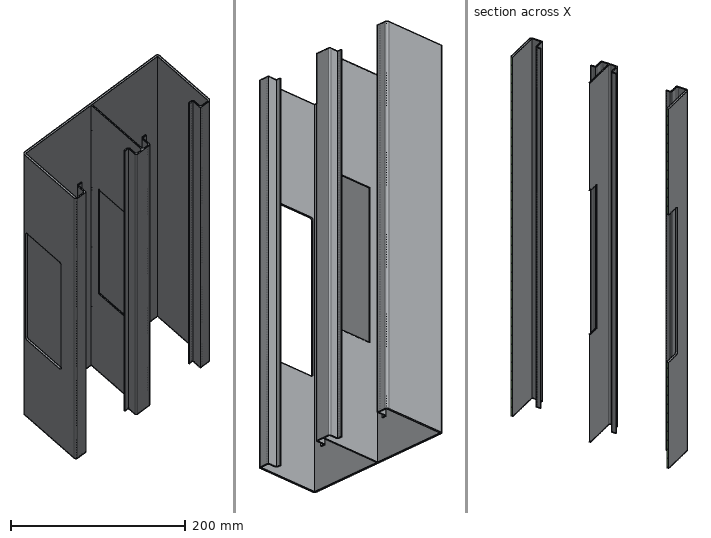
import cadquery as cq

depth = 90.0
width = 210.0
length = 500.0

wall = 2.5
partition_wall = 1.5
lip_wall = 1.5

corner_radius = 3.0
lip_outer_radius = 2.0
lip_tip_radius = 2.5
lip_inner_radius = 2.0

side_lip_reach = 16.0
center_lip_reach = 11.2
lip_depth = 14.5
tip_length = 5.5
lip_front = depth - lip_wall
lip_back = depth - lip_depth

window_x = 35.0
window_width = 60.0
window_height = 205.0
window_radius = 3.0

passage_x = 37.5
passage_width = 45.0
passage_height = 200.0


def bar(x_min, x_max, y_min, y_max):
    """Full-length bar, centred on Z = 0, with a rectangular cross-section."""
    return (
        cq.Workplane("XY")
        .box(x_max - x_min, y_max - y_min, length, centered=(False, False, True))
        .translate((x_min, y_min, 0))
    )


def round_edge(body, x, y, radius):
    """Fillet the lengthwise edge of the body that runs through (x, y)."""
    edge = cq.selectors.NearestToPointSelector((x, y, 0))
    return body.edges("|Z").edges(edge).fillet(radius)


def channel():
    """Back and two side walls, each side wall ending in a flange along the open side."""
    outer = bar(0, depth, -width / 2, width / 2).edges("|Z").fillet(corner_radius)
    cavity = bar(wall, lip_front, wall - width / 2, width / 2 - wall)
    mouth_edge = width / 2 - side_lip_reach
    mouth = bar(lip_front, depth, -mouth_edge, mouth_edge)
    return outer.cut(cavity).cut(mouth)


def partition():
    """Middle wall from the back to the open side, ending in a T-shaped flange."""
    web = bar(wall / 2, depth, -partition_wall / 2, partition_wall / 2)
    flange = bar(lip_front, depth, -center_lip_reach, center_lip_reach)
    return web.union(flange)


def add_lip(body, face_y, direction):
    """Fold a flange back into the channel at face_y, with a tip turned along direction."""
    inner_y = face_y - direction * lip_wall
    tip_y = face_y + direction * tip_length
    tip_front = lip_back + lip_wall
    profile = [
        (lip_back, inner_y),
        (depth, inner_y),
        (depth, face_y),
        (tip_front, face_y),
        (tip_front, tip_y),
        (lip_back, tip_y),
    ]
    base = cq.Workplane("XY").workplane(offset=-length / 2)
    body = body.union(base.polyline(profile).close().extrude(length))
    body = round_edge(body, lip_back, inner_y, lip_tip_radius)
    return round_edge(body, lip_front, inner_y, lip_inner_radius)


def opening(center_x, center_y, size_x, size_z, thickness):
    """Rectangular cutter passing through a wall that lies parallel to XZ."""
    return cq.Workplane("XY").box(size_x, thickness, size_z).translate((center_x, center_y, 0))


def window():
    """Cutter with rounded corners for the -Y side wall."""
    cutter = opening(window_x, (wall - width) / 2, window_width, window_height, 2 * wall)
    return cutter.edges("|Y").fillet(window_radius)


def passage():
    """Cutter linking the two compartments through the partition."""
    return opening(passage_x, 0, passage_width, passage_height, 2 * partition_wall)


result = channel().union(partition())
for side in (-1, 1):
    result = add_lip(result, side * (width / 2 - side_lip_reach), -side)
    result = add_lip(result, side * center_lip_reach, side)
    result = round_edge(result, depth, side * center_lip_reach, lip_outer_radius)
    result = round_edge(result, lip_front, side * partition_wall / 2, lip_inner_radius)
result = result.cut(window()).cut(passage())